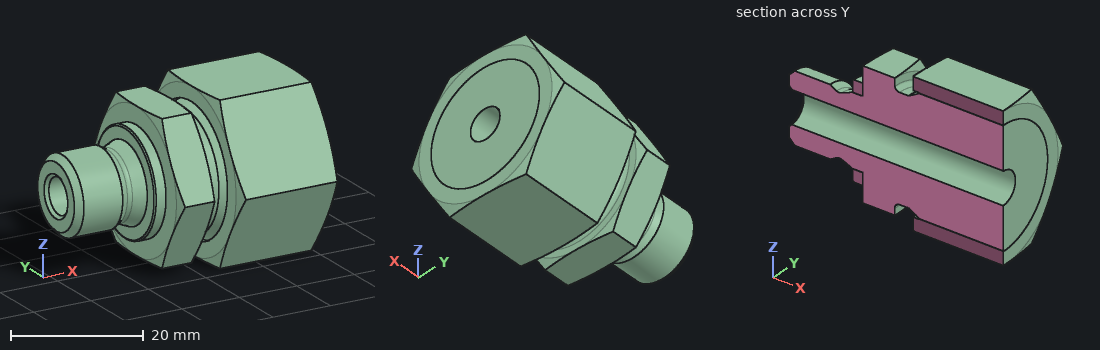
import cadquery as cq
import math


overall_length = 40.5
relief_start = 7.8
seal_start = 12.0
stud_hex_start = 13.95
stud_hex_end = 20.05
nut_start = 23.45

stud_radius = 6.55
end_chamfer = 1.05
bore_radius = 3.0
bore_chamfer = 0.53
stud_hex_flats = 24.0

relief_radius = 5.75
relief_fillet = 1.0
relief_front_angle = math.radians(30)
seal_seat_radius = 6.72

neck_radius = 9.85
neck_fillet = 0.8
nut_thread_start = 22.65
nut_thread_radius = 11.0
nut_thread_angle = math.radians(30)

seal_radius = 9.0
seal_chamfer = 0.25

nut_flats = 27.0

hex_chamfer_angle = math.radians(15)


def revolve_about_x(profile):
    """Turn a closed profile of (x, radius) points around the X axis."""
    return profile.close().revolve(360, (0, 0, 0), (1, 0, 0))


def cylinder_along_x(radius, start, end):
    return cq.Workplane("YZ", origin=(start, 0, 0)).circle(radius).extrude(end - start)


def chamfered_hexagon(flats, start, end):
    """Hexagonal prism along X with flats on +Z and -Z and both ends turned to a cone."""
    flat_radius = flats / 2
    corner_radius = flat_radius / math.cos(math.pi / 6)
    chamfer_length = (corner_radius - flat_radius) * math.tan(hex_chamfer_angle)
    prism = cq.Workplane("YZ", origin=(start, 0, 0)).polygon(6, 2 * corner_radius).extrude(end - start)
    envelope = revolve_about_x(
        cq.Workplane("XY")
        .moveTo(start, 0)
        .lineTo(start, flat_radius)
        .lineTo(start + chamfer_length, corner_radius)
        .lineTo(end - chamfer_length, corner_radius)
        .lineTo(end, flat_radius)
        .lineTo(end, 0)
    )
    return prism.intersect(envelope)


def relief_point(floor_x, angle):
    """Point on the rounded floor of the relief, at an angle from its lowest point."""
    x = floor_x + relief_fillet * math.sin(angle)
    radius = relief_radius + relief_fillet * (1 - math.cos(angle))
    return (x, radius)


def tangent_angle(along, across):
    """Slope angle of a line that ends at an offset from the floor and is tangent to its arc."""
    centre_distance = math.hypot(along, across - relief_fillet)
    direction = math.atan2(across - relief_fillet, along)
    return direction + math.asin(relief_fillet / centre_distance)


def make_turned_stud():
    """Stud end, relief groove and the seat under the seal ring, up to the hexagon."""
    front_point_height = relief_fillet * (1 - math.cos(relief_front_angle))
    front_cone_height = stud_radius - relief_radius - front_point_height
    front_cone_length = front_cone_height / math.tan(relief_front_angle)
    floor_x = relief_start + front_cone_length + relief_fillet * math.sin(relief_front_angle)
    back_angle = tangent_angle(seal_start - floor_x, seal_seat_radius - relief_radius)
    return revolve_about_x(
        cq.Workplane("XY")
        .moveTo(0, 0)
        .lineTo(0, stud_radius - end_chamfer)
        .lineTo(end_chamfer, stud_radius)
        .lineTo(relief_start, stud_radius)
        .lineTo(*relief_point(floor_x, -relief_front_angle))
        .threePointArc((floor_x, relief_radius), relief_point(floor_x, back_angle))
        .lineTo(seal_start, seal_seat_radius)
        .lineTo(stud_hex_start, seal_seat_radius)
        .lineTo(stud_hex_start, 0)
    )


def make_neck_and_nut_thread():
    """Neck behind the hexagon, then the cylinder that carries the nut."""
    thread_lead_in = (nut_thread_radius - neck_radius) / math.tan(nut_thread_angle)
    return revolve_about_x(
        cq.Workplane("XY")
        .moveTo(stud_hex_end, 0)
        .lineTo(stud_hex_end, neck_radius + neck_fillet)
        .radiusArc((stud_hex_end + neck_fillet, neck_radius), -neck_fillet)
        .lineTo(nut_thread_start, neck_radius)
        .lineTo(nut_thread_start + thread_lead_in, nut_thread_radius)
        .lineTo(overall_length, nut_thread_radius)
        .lineTo(overall_length, 0)
    )


def make_bore():
    """Through bore with a chamfered mouth at the stud end."""
    return revolve_about_x(
        cq.Workplane("XY")
        .moveTo(0, 0)
        .lineTo(0, bore_radius + bore_chamfer)
        .lineTo(bore_chamfer, bore_radius)
        .lineTo(overall_length, bore_radius)
        .lineTo(overall_length, 0)
    )


def make_stud():
    hexagon = chamfered_hexagon(stud_hex_flats, stud_hex_start, stud_hex_end)
    return make_turned_stud().union(hexagon).union(make_neck_and_nut_thread()).cut(make_bore())


def make_seal_ring():
    """Ring on the seat in front of the hexagon, chamfered on its outer front edge."""
    return revolve_about_x(
        cq.Workplane("XY")
        .moveTo(seal_start, seal_seat_radius)
        .lineTo(seal_start, seal_radius - seal_chamfer)
        .lineTo(seal_start + seal_chamfer, seal_radius)
        .lineTo(stud_hex_start, seal_radius)
        .lineTo(stud_hex_start, seal_seat_radius)
    )


def make_nut():
    hexagon = chamfered_hexagon(nut_flats, nut_start, overall_length)
    return hexagon.cut(cylinder_along_x(nut_thread_radius, nut_start, overall_length))


stud = make_stud()
seal_ring = make_seal_ring()
nut = make_nut()

result = cq.Compound.makeCompound([stud.val(), seal_ring.val(), nut.val()])